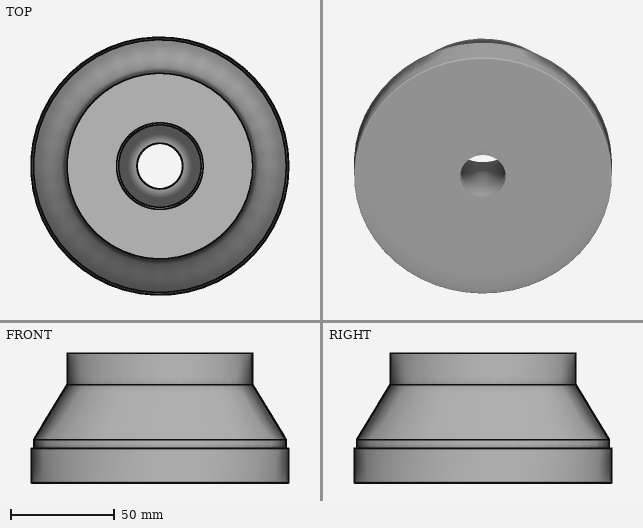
import cadquery as cq

outer_diameter = 125.0
total_height = 63.0
through_hole_diameter = 22.0

base_height = 17.0
base_edge_radius = 0.6

ledge_width = 1.2
band_height = 4.0
neck_diameter = 90.0
neck_height = 15.2

counterbore_diameter = 40.0
counterbore_depth = 28.0
counterbore_chamfer = 1.0

outer_radius = outer_diameter / 2
hole_radius = through_hole_diameter / 2
band_radius = outer_radius - ledge_width
band_top = base_height + band_height
neck_radius = neck_diameter / 2
neck_bottom = total_height - neck_height
counterbore_radius = counterbore_diameter / 2
counterbore_floor = total_height - counterbore_depth


def make_base():
    """Disc with rounded outer edges and a central through hole."""
    disc = cq.Workplane("XY").circle(outer_radius).extrude(base_height)
    disc = disc.edges("%CIRCLE").fillet(base_edge_radius)
    hole = cq.Workplane("XY").circle(hole_radius).extrude(base_height)
    return disc.cut(hole).solids()


def make_hub():
    """Revolved conical hub on top of the base, with a chamfered counterbore above the through hole."""
    profile = [
        (hole_radius, base_height),
        (band_radius, base_height),
        (band_radius, band_top),
        (neck_radius, neck_bottom),
        (neck_radius, total_height),
        (counterbore_radius + counterbore_chamfer, total_height),
        (counterbore_radius, total_height - counterbore_chamfer),
        (counterbore_radius, counterbore_floor),
        (hole_radius, counterbore_floor),
    ]
    return cq.Workplane("XZ").polyline(profile).close().revolve(360, (0, 0, 0), (0, 1, 0))


base = make_base()
hub = make_hub()

result = cq.Compound.makeCompound([base.val(), hub.val()])